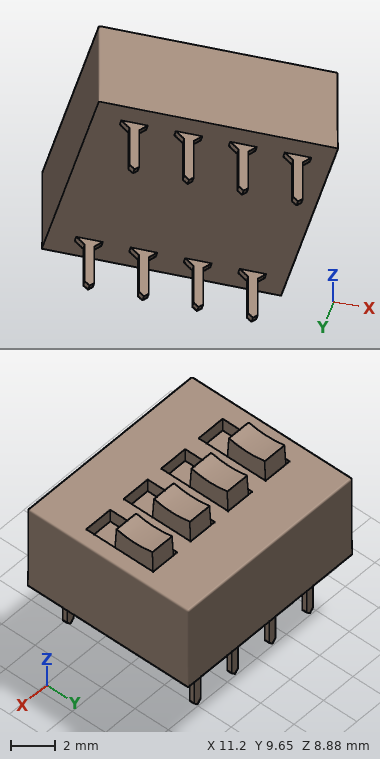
import cadquery as cq

OVERALL_HEIGHT = 8.88

BODY_LENGTH = 11.16
BODY_WIDTH = 9.65
BODY_HEIGHT = 4.9
BASE_HEIGHT = 1.25
EDGE_RADIUS = 0.1
BASE_FOOT_RADIUS = 0.03

SWITCH_COUNT = 4
PITCH = 2.54
ROW_OFFSET = 0.14
SWITCH_XS = [ROW_OFFSET + PITCH * (i - (SWITCH_COUNT - 1) / 2) for i in range(SWITCH_COUNT)]

SLOT_WIDTH = 1.63
SLOT_LENGTH = 4.02
SLOT_DEPTH = 0.75
SLOT_FLOOR = BODY_HEIGHT - SLOT_DEPTH

KNOB_CLEARANCE = 0.1
KNOB_WIDTH = SLOT_WIDTH - 2 * KNOB_CLEARANCE
KNOB_LENGTH = 2.32
KNOB_PROTRUSION = 1.02
KNOB_SIDE_INSET = 0.05
KNOB_END_INSET = 0.08
KNOB_TOP = BODY_HEIGHT + KNOB_PROTRUSION
KNOB_Y = SLOT_LENGTH / 2 - KNOB_CLEARANCE - KNOB_LENGTH / 2
SADDLE_LAND = 0.09
SADDLE_DEPTH = 0.12

PIN_ROW_SPACING = 7.62
PIN_LENGTH = OVERALL_HEIGHT - KNOB_TOP
PIN_WIDTH = 0.45
PIN_THICKNESS = 0.27
SHOULDER_WIDTH = 1.24
SHOULDER_HEIGHT = 0.4


def rounded_rectangle(radius):
    return cq.Sketch().rect(BODY_LENGTH, BODY_WIDTH).vertices().fillet(radius)


def make_housing():
    band = (
        cq.Workplane("XY")
        .placeSketch(
            rounded_rectangle(BASE_FOOT_RADIUS),
            rounded_rectangle(EDGE_RADIUS).moved(cq.Location(cq.Vector(0, 0, BASE_HEIGHT))),
        )
        .loft()
    )
    cover = (
        cq.Workplane("XY", origin=(0, 0, BASE_HEIGHT))
        .rect(BODY_LENGTH, BODY_WIDTH)
        .extrude(BODY_HEIGHT - BASE_HEIGHT)
        .edges("|Z or >Z")
        .fillet(EDGE_RADIUS)
    )
    return cover.union(band, clean=False)


def make_slot(x):
    return (
        cq.Workplane("XY", origin=(x, 0, SLOT_FLOOR))
        .rect(SLOT_WIDTH, SLOT_LENGTH)
        .extrude(SLOT_DEPTH)
    )


def make_knob(x):
    top_width = KNOB_WIDTH - 2 * KNOB_SIDE_INSET
    top_length = KNOB_LENGTH - 2 * KNOB_END_INSET
    block = (
        cq.Workplane("XY", origin=(x, KNOB_Y, SLOT_FLOOR))
        .rect(KNOB_WIDTH, KNOB_LENGTH)
        .workplane(offset=KNOB_TOP - SLOT_FLOOR)
        .rect(top_width, top_length)
        .loft()
    )
    half_chord = top_length / 2 - SADDLE_LAND
    saddle = (
        cq.Workplane("YZ", origin=(x, KNOB_Y, KNOB_TOP))
        .moveTo(-half_chord, 0)
        .threePointArc((0, -SADDLE_DEPTH), (half_chord, 0))
        .close()
        .extrude(KNOB_WIDTH, both=True)
    )
    return block.cut(saddle)


def make_pin(x, y):
    half = PIN_WIDTH / 2
    right_side = [
        (SHOULDER_WIDTH / 2, 0),
        (half, -SHOULDER_HEIGHT),
        (half, half - PIN_LENGTH),
    ]
    left_side = [(-px, pz) for px, pz in reversed(right_side)]
    return (
        cq.Workplane("XZ", origin=(x, y, 0))
        .polyline(right_side + [(0, -PIN_LENGTH)] + left_side)
        .close()
        .extrude(PIN_THICKNESS / 2, both=True)
    )


result = make_housing()
for switch_x in SWITCH_XS:
    result = result.cut(make_slot(switch_x), clean=False)
    result = result.union(make_knob(switch_x), clean=False)
    for row_y in (-PIN_ROW_SPACING / 2, PIN_ROW_SPACING / 2):
        result = result.union(make_pin(switch_x, row_y), clean=False)